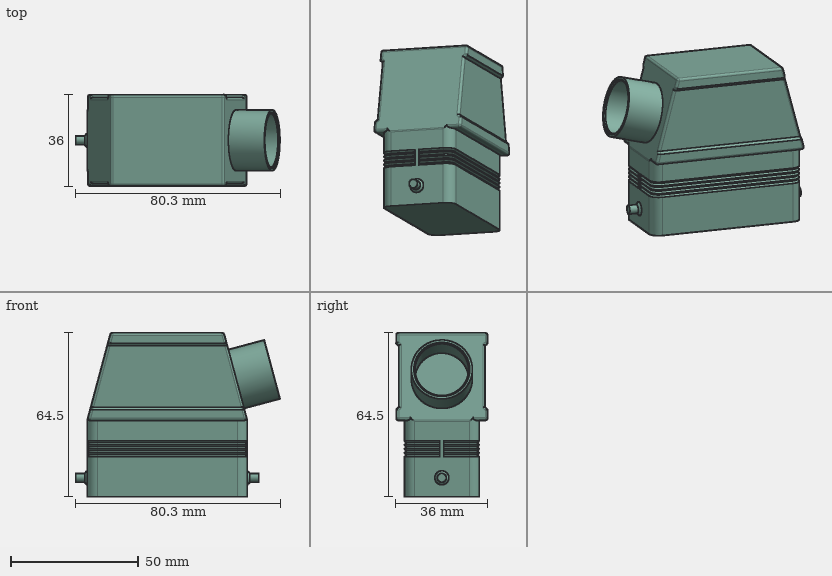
import cadquery as cq
import math

TOTAL_HEIGHT = 64.5
BASE_LENGTH = 63.0
BASE_WIDTH = 29.5
BASE_HEIGHT = 30.0
BASE_CORNER_RADIUS = 4.0
BASE_OVERLAP = 2.0

HOOD_WIDTH = 36.0
END_SLOPE = 15.0
EDGE_RADIUS = 1.0
BEND_RADIUS = 2.0
PANEL_DEPTH = 1.0
PANEL_BOTTOM = 34.3
PANEL_TOP = 60.3

GROOVE_COUNT = 4
GROOVE_PITCH = 1.575
GROOVE_DEPTH = GROOVE_PITCH / 2
GROOVES_TOP = 22.0
GROOVE_GAP = 1.6

PIN_SPAN = 72.0
PIN_DIAMETER = 3.5
PIN_HEIGHT = 7.5
COLLAR_DIAMETER = 5.5
COLLAR_LENGTH = 1.0

ENTRY_DIAMETER = 24.0
ENTRY_BORE = 21.0
ENTRY_LENGTH = 14.59
ENTRY_RISE = 16.9
ENTRY_CHAMFER = 0.5

SLOPE_TAN = math.tan(math.radians(END_SLOPE))
SLOPE_SIN = math.sin(math.radians(END_SLOPE))
SLOPE_COS = math.cos(math.radians(END_SLOPE))


def sharp_hood():
    """Trapezoidal block that stands on the base, before its edges are rounded."""
    half_foot = BASE_LENGTH / 2
    half_top = half_foot - (TOTAL_HEIGHT - BASE_HEIGHT) * SLOPE_TAN
    outline = [
        (-half_foot, BASE_HEIGHT),
        (half_foot, BASE_HEIGHT),
        (half_top, TOTAL_HEIGHT),
        (-half_top, TOTAL_HEIGHT),
    ]
    return cq.Workplane("XZ").polyline(outline).close().extrude(HOOD_WIDTH / 2, both=True)


def side_panel(side):
    """Cutter for the shallow recess along one long side (side = 1 or -1)."""
    face = side * HOOD_WIDTH / 2
    floor = face - side * PANEL_DEPTH
    outline = [
        (face, PANEL_BOTTOM),
        (floor, PANEL_BOTTOM + PANEL_DEPTH),
        (floor, PANEL_TOP - PANEL_DEPTH),
        (face, PANEL_TOP),
    ]
    return cq.Workplane("YZ").polyline(outline).close().extrude(BASE_LENGTH, both=True)


def hood():
    """Block with recessed sides; every edge is rounded except those of the recesses along X."""
    body = sharp_hood()
    for side in (1, -1):
        body = body.cut(side_panel(side))
    sloping_ends = body.faces("not(#Z or |Z)").faces("<X or >X").edges()
    long_edges = body.edges("|X").edges("<Z or >Z")
    return body.newObject(sloping_ends.add(long_edges).vals()).fillet(EDGE_RADIUS)


def rounded_prism(bottom, height):
    """Upright prism with the base's rounded rectangular section."""
    return (
        cq.Workplane("XY", origin=(0, 0, bottom))
        .rect(BASE_LENGTH, BASE_WIDTH)
        .extrude(height)
        .edges("|Z")
        .fillet(BASE_CORNER_RADIUS)
    )


def groove(top):
    """Ring cutter of V section whose mouth lies in the base's side."""
    half_pitch = GROOVE_PITCH / 2
    path = rounded_prism(top - half_pitch, GROOVE_PITCH).faces("<Z").wires()
    section = (
        cq.Workplane("XZ")
        .polyline(
            [
                (BASE_LENGTH / 2, top),
                (BASE_LENGTH / 2 - GROOVE_DEPTH, top - half_pitch),
                (BASE_LENGTH / 2, top - GROOVE_PITCH),
            ]
        )
        .close()
    )
    return section.sweep(path)


def base():
    """Grooved base, run up into the hood so that its ends bend into the slope without an overhang."""
    upright = cq.Workplane("XY").box(BASE_LENGTH, HOOD_WIDTH, BASE_HEIGHT, centered=(True, True, False))
    end_bends = cq.selectors.BoxSelector(
        (-BASE_LENGTH, -HOOD_WIDTH, BASE_HEIGHT - EDGE_RADIUS),
        (BASE_LENGTH, HOOD_WIDTH, BASE_HEIGHT + EDGE_RADIUS),
    )
    envelope = upright.union(sharp_hood()).edges(end_bends).edges("|Y").fillet(BEND_RADIUS)
    body = rounded_prism(0, BASE_HEIGHT + BASE_OVERLAP).intersect(envelope)
    gap = cq.Workplane("XY").box(2 * BASE_LENGTH, GROOVE_GAP, 2 * TOTAL_HEIGHT)
    for index in range(GROOVE_COUNT):
        body = body.cut(groove(GROOVES_TOP - index * GROOVE_PITCH).cut(gap))
    return body


def pins():
    """Both locking pins as one turned bar through the base, with a conical collar at each wall."""
    wall = BASE_LENGTH / 2
    tip = PIN_SPAN / 2
    pin_radius = PIN_DIAMETER / 2
    collar_radius = COLLAR_DIAMETER / 2
    outline = [
        (-tip, 0),
        (-tip, pin_radius),
        (-wall - COLLAR_LENGTH, pin_radius),
        (-wall, collar_radius),
        (wall, collar_radius),
        (wall + COLLAR_LENGTH, pin_radius),
        (tip, pin_radius),
        (tip, 0),
    ]
    bar = cq.Workplane("XZ").polyline(outline).close().revolve(360, (0, 0, 0), (1, 0, 0))
    return bar.translate((0, 0, PIN_HEIGHT))


def cable_entry():
    """Open tube standing square on the sloping end."""
    foot = (
        BASE_LENGTH / 2 - ENTRY_RISE * SLOPE_SIN,
        0,
        BASE_HEIGHT + ENTRY_RISE * SLOPE_COS,
    )
    end_face = cq.Plane(origin=foot, xDir=(0, 1, 0), normal=(SLOPE_COS, 0, SLOPE_SIN))
    return (
        cq.Workplane(end_face)
        .circle(ENTRY_DIAMETER / 2)
        .circle(ENTRY_BORE / 2)
        .extrude(ENTRY_LENGTH)
        .faces(cq.selectors.DirectionMinMaxSelector(end_face.zDir))
        .edges(cq.selectors.RadiusNthSelector(0))
        .chamfer(ENTRY_CHAMFER)
    )


result = base().union(hood()).union(pins()).union(cable_entry())